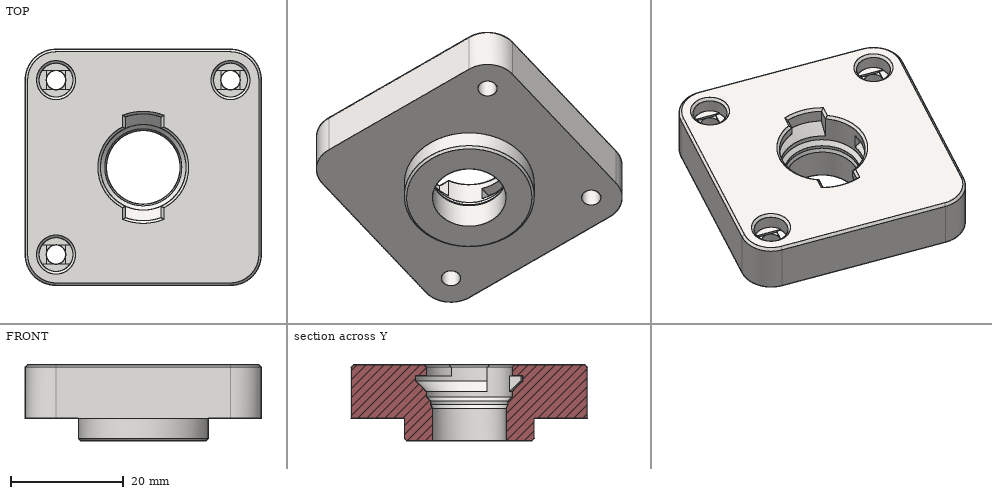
import cadquery as cq

side = 42.0
plate_height = 9.55
total_height = 13.55
hole_offset = 15.5
corner_radius = side / 2 - hole_offset
edge_chamfer = 0.45

boss_diameter = 23.1
boss_height = total_height - plate_height
boss_chamfer = 0.4

socket_diameter = 15.2
socket_depth = 5.7
throat_diameter = 13.7
throat_height = 0.65
throat_taper_height = 0.67
bore_diameter = 13.05

recess_diameter = 19.0
recess_wall_depth = 2.9
recess_taper = (recess_diameter - socket_diameter) / 2
entry_width = 6.4
track_stop_offset = 2.5
track_roof_depth = 2.0

head_diameter = 6.0
head_depth = 3.0
screw_diameter = 3.4
bridge_step = 0.2
screw_positions = [
    (-hole_offset, -hole_offset),
    (-hole_offset, hole_offset),
    (hole_offset, hole_offset),
]


def make_body():
    plate = (
        cq.Workplane("XY")
        .rect(side, side)
        .extrude(plate_height)
        .edges("|Z")
        .fillet(corner_radius)
        .faces(">Z")
        .chamfer(edge_chamfer)
    )
    boss = (
        cq.Workplane("XY")
        .circle(boss_diameter / 2)
        .extrude(-boss_height)
        .faces("<Z")
        .chamfer(boss_chamfer)
    )
    return plate.union(boss)


def revolve_profile(points):
    """Turn (radius, height) points into a solid of revolution about Z."""
    return cq.Workplane("XZ").polyline(points).close().revolve(360, (0, 0, 0), (0, 1, 0))


def make_bore():
    socket_radius = socket_diameter / 2
    throat_radius = throat_diameter / 2
    bore_radius = bore_diameter / 2
    socket_floor = plate_height - socket_depth
    throat_top = socket_floor - (socket_radius - throat_radius)
    throat_bottom = throat_top - throat_height
    bore_top = throat_bottom - throat_taper_height
    return revolve_profile([
        (0, plate_height),
        (socket_radius + edge_chamfer, plate_height),
        (socket_radius, plate_height - edge_chamfer),
        (socket_radius, socket_floor),
        (throat_radius, throat_top),
        (throat_radius, throat_bottom),
        (bore_radius, bore_top),
        (bore_radius, -boss_height),
        (0, -boss_height),
    ])


def make_recess_space(roof_depth, rim_chamfer=0):
    """Full round space below a roof; its outer wall tapers in to the socket wall."""
    recess_radius = recess_diameter / 2
    roof = plate_height - roof_depth
    taper_top = plate_height - recess_wall_depth
    taper_bottom = taper_top - recess_taper
    profile = [(0, roof), (recess_radius + rim_chamfer, roof)]
    if rim_chamfer:
        profile.append((recess_radius, roof - rim_chamfer))
    profile += [
        (recess_radius, taper_top),
        (socket_diameter / 2, taper_bottom),
        (0, taper_bottom),
    ]
    return revolve_profile(profile)


def make_entries():
    """Two opposed entries along Y, with flared rims."""
    half_width = entry_width / 2
    flare_width = half_width + edge_chamfer
    flare_bottom = plate_height - edge_chamfer
    section = cq.Workplane("XZ").polyline([
        (-half_width, 0),
        (half_width, 0),
        (half_width, flare_bottom),
        (flare_width, plate_height),
        (-flare_width, plate_height),
        (-half_width, flare_bottom),
    ]).close()
    return make_recess_space(0, edge_chamfer).intersect(section.extrude(side / 2, both=True))


def make_track():
    """Track from the -Y entry to a flat stop just past the +X axis."""
    start = -entry_width / 2
    footprint = cq.Workplane("XY").box(
        side / 2 - start, side / 2 + track_stop_offset, plate_height, centered=False
    ).translate((start, -side / 2, 0))
    return make_recess_space(track_roof_depth).intersect(footprint)


def make_screw_hole():
    floor = plate_height - head_depth
    head_radius = head_diameter / 2
    head = revolve_profile([
        (0, floor),
        (head_radius, floor),
        (head_radius, plate_height - edge_chamfer),
        (head_radius + edge_chamfer, plate_height),
        (0, plate_height),
    ])
    floor_plane = cq.Workplane("XY").workplane(offset=floor)
    slot = (
        floor_plane.rect(side, screw_diameter)
        .extrude(-bridge_step)
        .intersect(floor_plane.circle(head_radius).extrude(-bridge_step))
    )
    square = floor_plane.rect(screw_diameter, screw_diameter).extrude(-2 * bridge_step)
    shank = cq.Workplane("XY").circle(screw_diameter / 2).extrude(plate_height)
    return head.union(slot).union(square).union(shank)


result = make_body().cut(make_bore()).cut(make_entries())
screw_hole = make_screw_hole()
for x, y in screw_positions:
    result = result.cut(screw_hole.translate((x, y, 0)))

track = make_track()
for turn in (0, 180):
    result = result.cut(track.rotate((0, 0, 0), (0, 0, 1), turn))